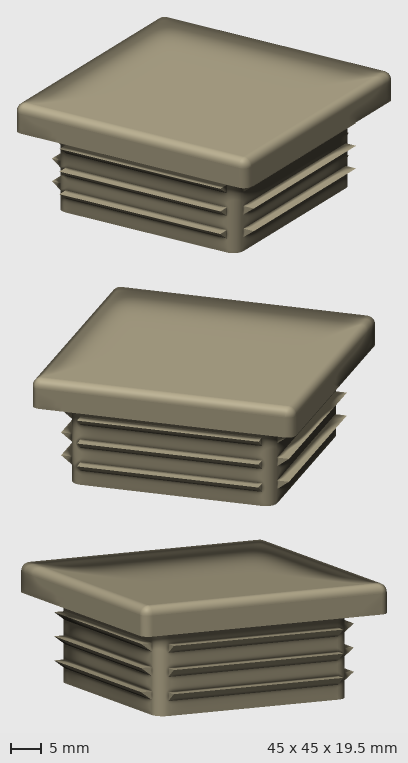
import cadquery as cq

cap_side = 45.0
cap_height = 5.0
cap_radius = 1.5

total_height = 19.5
plug_side = 35.0
plug_radius = 2.0
plug_height = total_height - cap_height

fin_count = 3
fin_reach = 2.0
fin_height = 1.5
fin_pitch = 4.0
first_fin_drop = 2.5
fin_length = plug_side - 2 * plug_radius
fin_root_overlap = 0.45


def make_cap():
    """Square plate on top of the plug, with rounded corners and upper edges."""
    block = cq.Workplane("XY").workplane(offset=plug_height).rect(cap_side, cap_side).extrude(cap_height)
    return block.edges("|Z or >Z").fillet(cap_radius)


def make_plug():
    """Square body with rounded vertical corners, standing on Z = 0."""
    return cq.Workplane("XY").rect(plug_side, plug_side).extrude(plug_height).edges("|Z").fillet(plug_radius)


def make_fin(top_z):
    """Fin on the +X side: flat on top, sloping underneath to a sharp tip."""
    face_x = plug_side / 2
    root_x = face_x - fin_root_overlap
    bottom_z = top_z - fin_height
    profile = [
        (root_x, top_z),
        (face_x + fin_reach, top_z),
        (face_x, bottom_z),
        (root_x, bottom_z),
    ]
    return cq.Workplane("XZ").polyline(profile).close().extrude(fin_length / 2, both=True)


result = make_plug().union(make_cap())
for level in range(fin_count):
    fin = make_fin(plug_height - first_fin_drop - level * fin_pitch)
    for angle in (0, 90, 180, 270):
        result = result.union(fin.rotate((0, 0, 0), (0, 0, 1), angle))